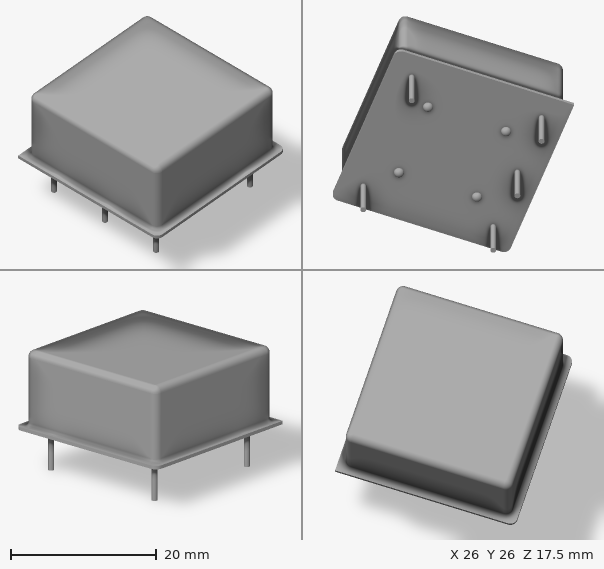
import cadquery as cq

FLANGE_WIDTH = 26.0
FLANGE_THICKNESS = 0.5
FLANGE_CORNER_RADIUS = 1.0
FLANGE_MARGIN = 1.0
CAN_WIDTH = FLANGE_WIDTH - 2 * FLANGE_MARGIN
CAN_TOP = 11.5
CAN_RADIUS = FLANGE_CORNER_RADIUS
FOOT_RADIUS = 0.5

PIN_DIAMETER = 0.8
PIN_LENGTH = 6.0
PIN_OFFSET = 9.52
PIN_PLACES = [
    (-PIN_OFFSET, -PIN_OFFSET),
    (0, -PIN_OFFSET),
    (PIN_OFFSET, -PIN_OFFSET),
    (-PIN_OFFSET, PIN_OFFSET),
    (PIN_OFFSET, PIN_OFFSET),
]

STANDOFF_DIAMETER = 1.4
STANDOFF_OFFSET = 5.72
STANDOFF_PLACES = [
    (x, y)
    for x in (-STANDOFF_OFFSET, STANDOFF_OFFSET)
    for y in (-STANDOFF_OFFSET, STANDOFF_OFFSET)
]


def make_can():
    """Solid can with its flange; the flange underside lies at Z = 0."""
    flange = (
        cq.Workplane("XY")
        .rect(FLANGE_WIDTH, FLANGE_WIDTH)
        .extrude(FLANGE_THICKNESS)
        .edges("|Z")
        .edges(">X or >Y")
        .fillet(FLANGE_CORNER_RADIUS)
    )
    cover = (
        cq.Workplane("XY")
        .rect(CAN_WIDTH, CAN_WIDTH)
        .extrude(CAN_TOP)
        .edges("|Z")
        .fillet(CAN_RADIUS)
        .faces(">Z")
        .edges()
        .fillet(CAN_RADIUS)
    )
    foot_reach = CAN_WIDTH / 2 + FLANGE_MARGIN / 2
    foot_edges = cq.selectors.BoxSelector(
        (-foot_reach, -foot_reach, FLANGE_THICKNESS / 2),
        (foot_reach, foot_reach, FLANGE_THICKNESS * 3 / 2),
    )
    return flange.union(cover).edges(foot_edges).fillet(FOOT_RADIUS)


def make_pin(x, y):
    """Round pin hanging from the flange underside."""
    return cq.Workplane("XY").center(x, y).circle(PIN_DIAMETER / 2).extrude(-PIN_LENGTH)


def make_standoff(x, y):
    """Half ball under the flange, flat side up."""
    lower_half = cq.Workplane("XY").sphere(STANDOFF_DIAMETER / 2, angle1=-90, angle2=0)
    return lower_half.translate((x, y, 0))


can = make_can()
pins = [make_pin(x, y) for x, y in PIN_PLACES]
standoffs = [make_standoff(x, y) for x, y in STANDOFF_PLACES]

result = cq.Compound.makeCompound(
    [can.val()] + [pin.val() for pin in pins] + [standoff.val() for standoff in standoffs]
)